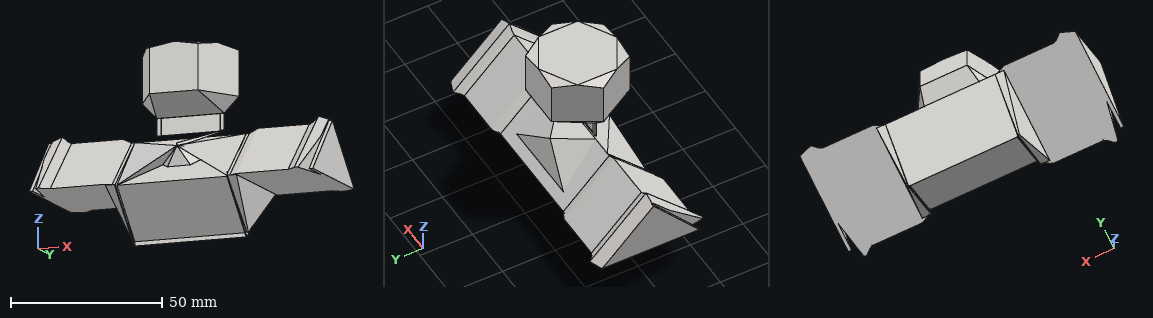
import cadquery as cq
import math

run_half_length = 50.5
barrel_radius = 17.5
barrel_half_length = 20.1
end_rim_thickness = 0.3
recess_half_length = barrel_half_length - end_rim_thickness
front_radius = 16.0

mouth_radius = 19.6
bead_x = 45.6
bead_width = 42.9
bead_radius = bead_width / 2
socket_radius = 19.0
shoulder_x = 20.9
socket_stations = [
    (barrel_half_length, barrel_radius),
    (shoulder_x, barrel_radius),
    (23.1, 18.6),
    (24.0, socket_radius),
    (42.3, socket_radius),
    (43.5, 19.6),
    (bead_x, bead_radius),
    (run_half_length, mouth_radius),
]

lip_thickness = 1.3
lip_radius = 17.5
slot_end_x = 46.6

keel_depth = front_radius
keel_top_half_length = 23.3
keel_bottom_half_length = 20.6

neck_half_width = 12.0
neck_panel_half_width = 10.5
neck_thickness = 0.3
neck_flange_thickness = 0.4
neck_bottom = 19.0
neck_top = 24.9
web_height = 0.9
web_thickness = 0.3
saddle_peak_z = 12.6
front_peak_y = -math.sqrt(barrel_radius**2 - saddle_peak_z**2)
back_peak_y = 10.5

nut_across_flats = 29.9
nut_corner_radius = nut_across_flats / math.sqrt(3)
nut_hex_bottom = 30.2
nut_top = 47.3
nut_corner_top = 45.9


def polyhedron(faces):
    """Solid bounded by flat faces, each given as a list of corner points."""
    sides = []
    for points in faces:
        wire = cq.Wire.makePolygon([cq.Vector(*point) for point in points], close=True)
        sides.append(cq.Face.makeFromWires(wire))
    solid = cq.Solid.makeSolid(cq.Shell.makeShell(sides))
    return cq.Workplane(solid.fix())


def half_diamond(x, radius, height):
    """Closed triangle across X, with its base on z = 0 and its tip at the given height."""
    corners = [(x, -radius, 0), (x, radius, 0), (x, 0, height)]
    return cq.Wire.makePolygon([cq.Vector(*corner) for corner in corners], close=True)


def half_diamond_bar(half_length, radius, height):
    """Triangular bar along X, centred on x = 0."""
    ends = [half_diamond(x, radius, height) for x in (-half_length, half_length)]
    return cq.Workplane(cq.Solid.makeLoft(ends, True))


def socket(side):
    """Half-diamond socket with a bead, on the side -1 or +1 of the barrel."""
    body = None
    for (x0, r0), (x1, r1) in zip(socket_stations, socket_stations[1:]):
        ends = [half_diamond(side * x0, r0, r0), half_diamond(side * x1, r1, r1)]
        segment = cq.Workplane(cq.Solid.makeLoft(ends, True))
        body = segment if body is None else body.union(segment)
    return body.cut(mouth_slot(side)).cut(lip_relief(side))


def mouth_slot(side):
    """V slot between the lip and the bead, open towards -Y."""
    lip_x = run_half_length - lip_thickness
    slope = bead_radius / (run_half_length - slot_end_x)
    corners = [
        (side * lip_x, -slope * lip_thickness),
        (side * lip_x, -bead_radius),
        (side * slot_end_x, -bead_radius),
    ]
    return cq.Workplane("XY").polyline(corners).close().extrude(bead_radius)


def lip_relief(side):
    """Sliver that narrows the -Y side of the lip from the mouth radius to the lip radius."""
    profile = [(0, mouth_radius), (-bead_radius, mouth_radius), (-bead_radius, 0), (-lip_radius, 0)]
    sliver = cq.Workplane("YZ").polyline(profile).close().extrude(side * lip_thickness)
    return sliver.translate((side * (run_half_length - lip_thickness), 0, 0))


def front_recess():
    """Space between the full diamond and the set-back flats on the -Y side of the barrel."""
    section = [
        (0, barrel_radius),
        (-front_radius, 0),
        (0, -front_radius),
        (0, -barrel_radius),
        (-barrel_radius, -barrel_radius),
        (-barrel_radius, barrel_radius),
    ]
    return cq.Workplane("YZ").polyline(section).close().extrude(recess_half_length, both=True)


def barrel():
    """Diamond bar between the sockets, set back on the -Y side, with a tapered keel under it."""
    upper = half_diamond_bar(barrel_half_length, barrel_radius, barrel_radius)
    lower = half_diamond_bar(barrel_half_length, barrel_radius, -barrel_radius)
    taper = (
        cq.Workplane("XZ")
        .moveTo(-keel_top_half_length, 0)
        .lineTo(keel_top_half_length, 0)
        .lineTo(keel_bottom_half_length, -keel_depth)
        .lineTo(-keel_bottom_half_length, -keel_depth)
        .close()
        .extrude(barrel_radius, both=True)
    )
    keel = half_diamond_bar(keel_top_half_length, barrel_radius, -keel_depth).intersect(taper)
    return upper.union(lower).union(keel).cut(front_recess())


def saddle(outline, flat_edge_y, peak_y):
    """Faceted swelling that joins an (x, z) outline on one upper flat of the barrel to a peak."""
    base = [(x, flat_edge_y * (1 - z / barrel_radius), z) for x, z in outline]
    peak = (0, peak_y, saddle_peak_z)
    facets = [[start, end, peak] for start, end in zip(base, base[1:] + base[:1])]
    return polyhedron([base] + facets)


def front_saddle():
    """Swelling on the -Y flat, reaching all four corners of the flat."""
    outline = [
        (-recess_half_length, barrel_radius),
        (-recess_half_length, 0),
        (-6.1, 7.1),
        (-4.0, 6.1),
        (4.0, 6.2),
        (13.0, 11.4),
        (recess_half_length, 0),
        (recess_half_length, barrel_radius),
    ]
    return saddle(outline, -front_radius, front_peak_y)


def back_saddle():
    """Smaller swelling on the +Y flat, as wide as the neck at the top."""
    foot_half_width = 15.6
    foot_z = 3.1
    outline = [
        (-neck_half_width, barrel_radius),
        (-foot_half_width, foot_z),
        (foot_half_width, foot_z),
        (neck_half_width, barrel_radius),
    ]
    return saddle(outline, barrel_radius, back_peak_y)


def neck():
    """Thin upright plate under the nut, with a slightly thicker strip at each side."""
    height = neck_top - neck_bottom
    strip_width = neck_half_width - neck_panel_half_width
    strip_centre = (neck_half_width + neck_panel_half_width) / 2
    base = cq.Workplane("XY").workplane(offset=neck_bottom)
    plate = base.rect(2 * neck_half_width, neck_thickness).extrude(height)
    strips = (
        base.pushPoints([(-strip_centre, 0), (strip_centre, 0)])
        .rect(strip_width, neck_flange_thickness)
        .extrude(height)
    )
    return plate.union(strips)


def neck_web():
    """Thin sloping web from the front saddle peak up to the foot of the neck."""
    length = math.hypot(neck_half_width, front_peak_y)
    along = cq.Vector(neck_half_width, -front_peak_y, 0)
    normal = along.cross(cq.Vector(0, 0, 1))
    plane = cq.Plane(origin=(0, front_peak_y, 0), xDir=along, normal=normal)
    profile = [
        (0, saddle_peak_z - web_height / 2),
        (length, neck_bottom),
        (length, neck_bottom + web_height / 2),
        (0, saddle_peak_z + web_height),
    ]
    return cq.Workplane(plane).polyline(profile).close().extrude(web_thickness / 2, both=True)


def tee_body():
    """Barrel, sockets, saddles and neck as one solid."""
    body = barrel()
    for side in (-1, 1):
        body = body.union(socket(side))
    body = body.union(front_saddle()).union(back_saddle())
    return body.union(neck_web()).union(neck())


def polar(radius, degrees):
    """Point at a radius and an angle from the X axis."""
    angle = math.radians(degrees)
    return radius * math.cos(angle), radius * math.sin(angle)


def hex_nut():
    """Hexagonal nut with cut top corners, narrowing below to an edge on the neck."""
    corners = [polar(nut_corner_radius, 60 * i) for i in range(6)]
    flats = [polar(nut_across_flats / 2, 60 * i + 30) for i in range(6)]
    low = [(x, y, nut_hex_bottom) for x, y in corners]
    high = [(x, y, nut_corner_top) for x, y in corners]
    mid = [(x, y, nut_top) for x, y in flats]
    right = (neck_half_width, 0, neck_top)
    left = (-neck_half_width, 0, neck_top)

    faces = [mid]
    for i in range(6):
        following = (i + 1) % 6
        faces.append([low[i], low[following], high[following], mid[i], high[i]])
        faces.append([high[i], mid[i], mid[i - 1]])
    faces += [
        [low[0], low[1], right],
        [low[5], low[0], right],
        [low[2], low[3], left],
        [low[3], low[4], left],
        [low[1], low[2], left, right],
        [low[4], low[5], right, left],
    ]
    return polyhedron(faces)


tee = tee_body()
nut = hex_nut()
result = cq.Compound.makeCompound([tee.solids().val(), nut.val()])